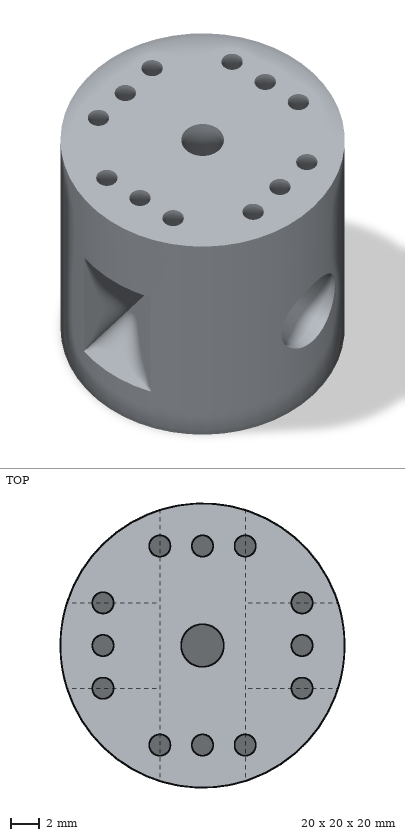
import cadquery as cq

body_diameter = 20.0
body_height = 20.0

window_width = 6.0
window_height = 10.0
window_floor = 3.8
bore_diameter = 6.0
cross_axis_height = window_floor + window_height / 2

center_hole_diameter = 3.0
center_hole_depth = body_height - window_floor - window_height
small_hole_diameter = 1.5
small_hole_depth = 4.0
row_offset = 7.0
hole_pitch = 3.0


def make_body():
    return cq.Workplane("XY").circle(body_diameter / 2).extrude(body_height)


def make_window():
    return (
        cq.Workplane("XY")
        .box(window_width, body_diameter, window_height)
        .translate((0, 0, cross_axis_height))
    )


def make_bore():
    return (
        cq.Workplane("YZ")
        .center(0, cross_axis_height)
        .circle(bore_diameter / 2)
        .extrude(body_diameter / 2, both=True)
    )


def small_hole_points():
    """Three holes in each of four rows, one row per side of a square."""
    points = []
    for side in (-row_offset, row_offset):
        for along in (-hole_pitch, 0, hole_pitch):
            points.append((along, side))
            points.append((side, along))
    return points


def make_top_holes(points, diameter, depth):
    return (
        cq.Workplane("XY", origin=(0, 0, body_height))
        .pushPoints(points)
        .circle(diameter / 2)
        .extrude(-depth)
    )


result = (
    make_body()
    .cut(make_window())
    .cut(make_bore())
    .cut(make_top_holes([(0, 0)], center_hole_diameter, center_hole_depth))
    .cut(make_top_holes(small_hole_points(), small_hole_diameter, small_hole_depth))
)